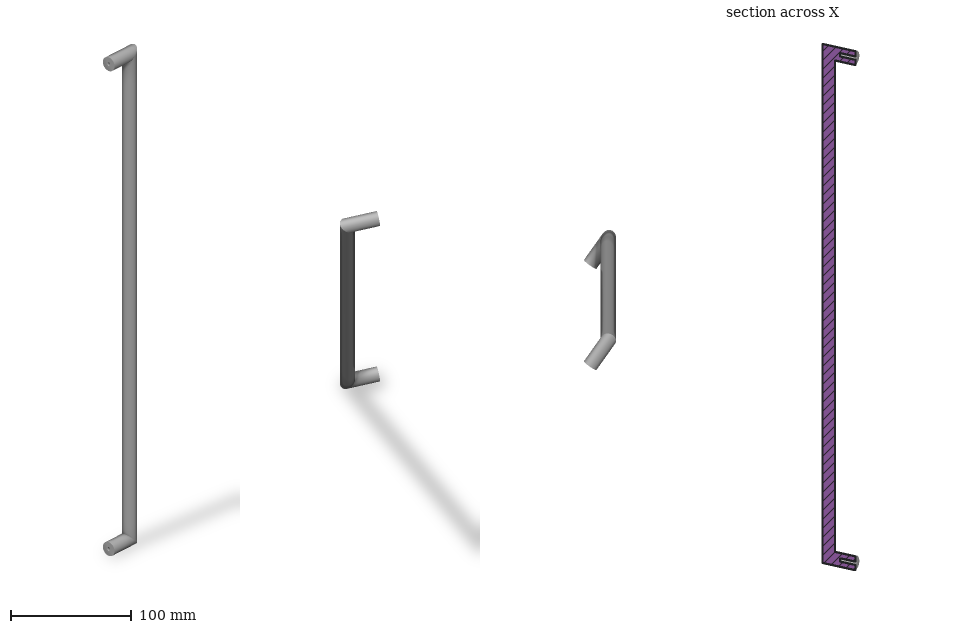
import cadquery as cq

bar_diameter = 12.7
overall_length = 460.7
projection = 32.7
screw_hole_diameter = 2.5
screw_hole_depth = 15.0
countersink_diameter = 3.3

bar_radius = bar_diameter / 2
hole_spacing = overall_length - bar_diameter
leg_height = hole_spacing / 2
grip_y = projection - bar_radius
screw_hole_radius = screw_hole_diameter / 2
countersink_radius = countersink_diameter / 2
countersink_depth = countersink_radius - screw_hole_radius


def mitred_bar():
    """Sweep the round section along a U-shaped path with sharp mitred corners."""
    path = cq.Workplane("YZ").polyline([
        (0, -leg_height),
        (grip_y, -leg_height),
        (grip_y, leg_height),
        (0, leg_height),
    ])
    section = cq.Workplane("XZ", origin=(0, 0, -leg_height)).circle(bar_radius)
    return section.sweep(path, transition="right")


def screw_hole(height):
    """Blind countersunk hole along +Y from the end face of a leg, as a revolved profile."""
    return (
        cq.Workplane("XY", origin=(0, 0, height))
        .polyline([
            (0, 0),
            (countersink_radius, 0),
            (screw_hole_radius, countersink_depth),
            (screw_hole_radius, screw_hole_depth),
            (0, screw_hole_depth),
        ])
        .close()
        .revolve(360, (0, 0), (0, 1))
    )


result = mitred_bar()
for height in (-leg_height, leg_height):
    result = result.cut(screw_hole(height))